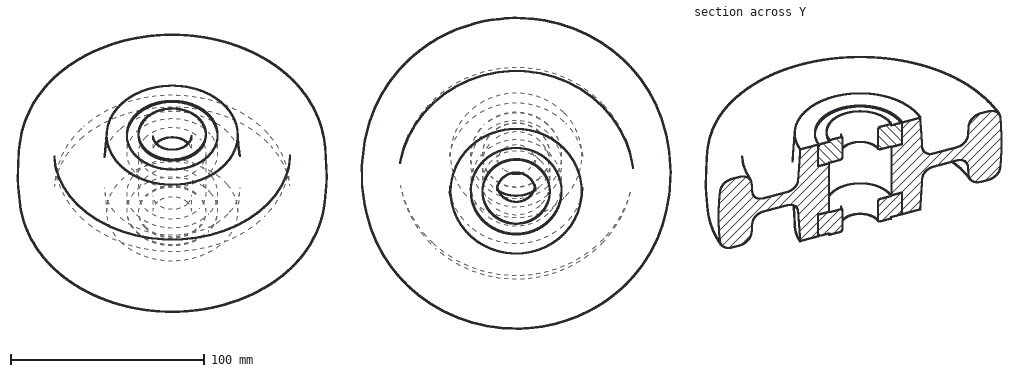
import cadquery as cq
import math

tread_radius = 80.0
tread_edge_radius = 78.4
rim_half_width = 22.5
web_half_thickness = 4.5
corner_fillet = 6.0
rim_mouth_fillet = 7.2
tread_fillet = 7.0
draft_slope = math.tan(math.radians(3.5))
rim_mouth_radius = 61.5

hub_half_length = 30.0
hub_end_radius = 34.0

overall_half_length = 31.0
bearing_radius = 23.5
bearing_width = 14.0
bearing_fillet = 1.3
inner_ring_radius = 17.5
bore_radius = 10.0
bore_fillet = 1.6
passage_radius = inner_ring_radius

rim_base_radius = rim_mouth_radius - draft_slope * (rim_half_width - web_half_thickness)
hub_base_radius = hub_end_radius + draft_slope * (hub_half_length - web_half_thickness)

crown_drop = tread_radius - tread_edge_radius
crown_arc_radius = (rim_half_width**2 + crown_drop**2) / (2 * crown_drop)
crown_centre = tread_radius - crown_arc_radius
shoulder_radius = crown_centre + math.sqrt(crown_arc_radius**2 - (rim_half_width / 2) ** 2)

seat_height = hub_half_length - bearing_width


def round_circles(body, circle_radius, height, fillet_radius):
    """Round the matching circular edges on both sides of the wheel."""
    tolerance = 0.002

    def matches(edge):
        if edge.geomType() != "CIRCLE":
            return False
        same_radius = abs(edge.radius() - circle_radius) < tolerance
        same_height = abs(abs(edge.Center().z) - height) < tolerance
        return same_radius and same_height

    return body.newObject(body.edges().filter(matches).vals()).fillet(fillet_radius)


def make_wheel():
    """Crowned wheel with drafted hub and rim walls, and a bearing seat at each end."""
    wheel = (
        cq.Workplane("XZ")
        .moveTo(passage_radius, -seat_height)
        .lineTo(bearing_radius, -seat_height)
        .lineTo(bearing_radius, -hub_half_length)
        .lineTo(hub_end_radius, -hub_half_length)
        .lineTo(hub_base_radius, -web_half_thickness)
        .lineTo(rim_base_radius, -web_half_thickness)
        .lineTo(rim_mouth_radius, -rim_half_width)
        .lineTo(tread_edge_radius, -rim_half_width)
        .threePointArc((shoulder_radius, -rim_half_width / 2), (tread_radius, 0))
        .threePointArc((shoulder_radius, rim_half_width / 2), (tread_edge_radius, rim_half_width))
        .lineTo(rim_mouth_radius, rim_half_width)
        .lineTo(rim_base_radius, web_half_thickness)
        .lineTo(hub_base_radius, web_half_thickness)
        .lineTo(hub_end_radius, hub_half_length)
        .lineTo(bearing_radius, hub_half_length)
        .lineTo(bearing_radius, seat_height)
        .lineTo(passage_radius, seat_height)
        .close()
        .revolve(360, (0, 0, 0), (0, 1, 0))
    )
    wheel = round_circles(wheel, hub_base_radius, web_half_thickness, corner_fillet)
    wheel = round_circles(wheel, rim_base_radius, web_half_thickness, corner_fillet)
    wheel = round_circles(wheel, rim_mouth_radius, rim_half_width, rim_mouth_fillet)
    return round_circles(wheel, tread_edge_radius, rim_half_width, tread_fillet)


def make_bearing(side):
    """Bearing at the +Z end (side = 1) or its mirror image at the -Z end (side = -1)."""
    bearing = (
        cq.Workplane("XY")
        .workplane(offset=seat_height)
        .circle(bearing_radius)
        .extrude(bearing_width)
        .edges(">Z")
        .fillet(bearing_fillet)
        .faces(">Z")
        .workplane()
        .circle(inner_ring_radius)
        .extrude(overall_half_length - hub_half_length)
        .faces(">Z")
        .workplane()
        .circle(bore_radius)
        .cutThruAll()
    )
    bore_edge = cq.selectors.RadiusNthSelector(0)
    bearing = bearing.faces("|Z").edges(bore_edge).fillet(bore_fillet)
    return bearing if side > 0 else bearing.mirror("XY")


wheel = make_wheel()
bearings = [make_bearing(side) for side in (1, -1)]

result = cq.Compound.makeCompound([wheel.val(), *(bearing.val() for bearing in bearings)])